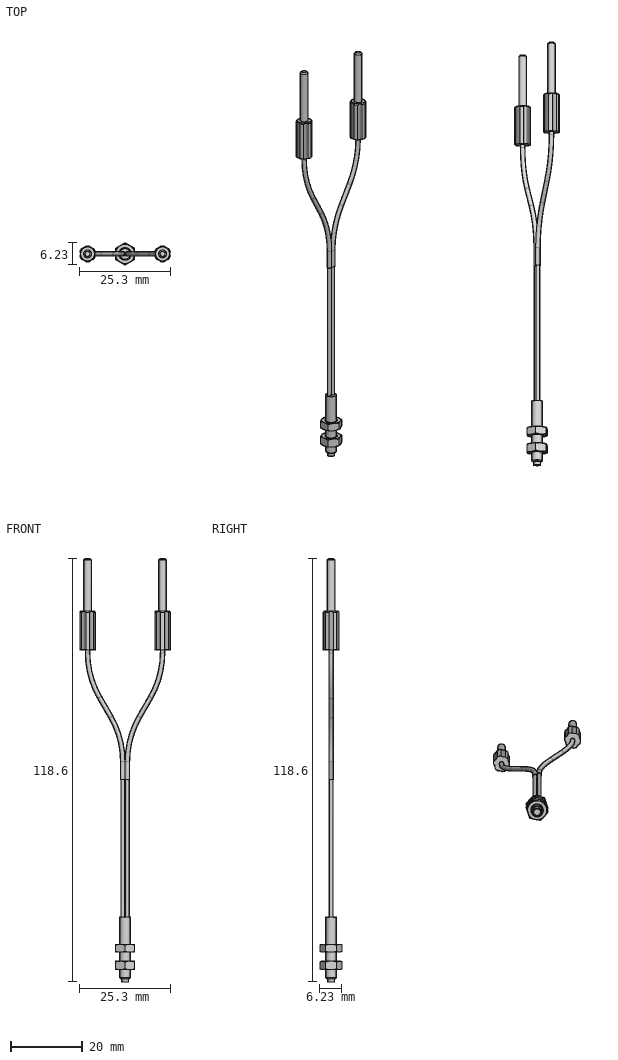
import cadquery as cq
import math

TIP_DIAMETER = 2.0
TIP_LENGTH = 0.9
HEAD_DIAMETER = 3.0
HEAD_TOP_Z = 18.2
HEAD_CHAMFER = 0.35

NUT_CORNER_DIAMETER = 6.23
NUT_SIDES = 6
NUT_HALF_SIDE_ANGLE = 180 / NUT_SIDES
NUT_FLAT_WIDTH = NUT_CORNER_DIAMETER * math.cos(math.radians(NUT_HALF_SIDE_ANGLE))
NUT_CHAMFER_ANGLE = 30
NUT_COUNTERSINK = 0.25
LOWER_NUT_Z = 3.5
LOWER_NUT_HEIGHT = 2.4
UPPER_NUT_Z = 8.4
UPPER_NUT_HEIGHT = 2.2

CABLE_PITCH = 1.3
CABLE_DIAMETER = 1.1
ARM_DIAMETER = 1.3
JOINED_BOTTOM_Z = 56.8
JOINED_TOP_Z = 61.8
BEND_RADIUS = 25.0
BEND_ANGLE = 30

OVERALL_WIDTH = 25.31
OVERALL_HEIGHT = 118.62
GRIP_DIAMETER = 4.5
GRIP_BOTTOM_Z = 93.1
GRIP_TOP_Z = 103.9
GRIP_CHAMFER = 0.3
FLUTE_COUNT = 6
FLUTE_WIDTH = 1.3
FLUTE_FLOOR_WIDTH = 0.5
FLUTE_DEPTH = 0.2
TUBE_DIAMETER = 2.2
TUBE_CHAMFER = 0.4

GRIP_RADIUS = GRIP_DIAMETER / 2
GRIP_WIDTH = 2 * math.sqrt(GRIP_RADIUS**2 - (FLUTE_WIDTH / 2) ** 2)
GRIP_X = (OVERALL_WIDTH - GRIP_WIDTH) / 2


def cylinder(diameter, bottom_z, top_z, x=0):
    return cq.Workplane("XY", origin=(x, 0, bottom_z)).circle(diameter / 2).extrude(top_z - bottom_z)


def make_head():
    tip = cylinder(TIP_DIAMETER, 0, TIP_LENGTH)
    body = cylinder(HEAD_DIAMETER, TIP_LENGTH, HEAD_TOP_Z).faces("<Z").chamfer(HEAD_CHAMFER)
    return tip.union(body)


def make_nut(bottom_z, height):
    """Hexagon nut, bored for the head, corners turned down and bore countersunk at both ends."""
    prism = (
        cq.Workplane("XY", origin=(0, 0, bottom_z))
        .polygon(NUT_SIDES, NUT_CORNER_DIAMETER)
        .extrude(height)
        .rotate((0, 0, 0), (0, 0, 1), NUT_HALF_SIDE_ANGLE)
    )
    chamfer_width = (NUT_CORNER_DIAMETER - NUT_FLAT_WIDTH) / 2
    chamfer_height = chamfer_width * math.tan(math.radians(NUT_CHAMFER_ANGLE))
    envelope = cylinder(NUT_CORNER_DIAMETER, bottom_z, bottom_z + height)
    envelope = envelope.faces("<Z or >Z").chamfer(chamfer_height, chamfer_width)
    bore = cylinder(HEAD_DIAMETER, bottom_z, bottom_z + height)
    nut = prism.intersect(envelope).cut(bore)
    return nut.edges(cq.selectors.RadiusNthSelector(0)).chamfer(NUT_COUNTERSINK)


def make_arm():
    """Right-hand cable arm: bend outward, straight run, bend back to vertical."""
    angle = math.radians(BEND_ANGLE)
    start_x = CABLE_PITCH / 2
    bend_x = BEND_RADIUS * (1 - math.cos(angle))
    bend_z = BEND_RADIUS * math.sin(angle)
    straight_x = GRIP_X - start_x - 2 * bend_x
    straight_z = straight_x / math.tan(angle)
    end_z = JOINED_TOP_Z + 2 * bend_z + straight_z

    half_x = BEND_RADIUS * (1 - math.cos(angle / 2))
    half_z = BEND_RADIUS * math.sin(angle / 2)
    path = (
        cq.Workplane("XZ")
        .moveTo(start_x, JOINED_TOP_Z)
        .threePointArc((start_x + half_x, JOINED_TOP_Z + half_z), (start_x + bend_x, JOINED_TOP_Z + bend_z))
        .lineTo(GRIP_X - bend_x, end_z - bend_z)
        .threePointArc((GRIP_X - half_x, end_z - half_z), (GRIP_X, end_z))
        .lineTo(GRIP_X, GRIP_BOTTOM_Z)
    )
    section = cq.Workplane("XY", origin=(start_x, 0, JOINED_TOP_Z)).circle(ARM_DIAMETER / 2)
    return section.sweep(path)


def make_grip():
    """Cylinder with a chamfered top rim and trapezoidal flutes along its whole length."""
    grip = cylinder(GRIP_DIAMETER, GRIP_BOTTOM_Z, GRIP_TOP_Z).faces(">Z").chamfer(GRIP_CHAMFER)
    half_floor = FLUTE_FLOOR_WIDTH / 2
    half_mouth = FLUTE_WIDTH / 2
    floor_x = GRIP_RADIUS - FLUTE_DEPTH
    mouth_x = math.sqrt(GRIP_RADIUS**2 - half_mouth**2)
    flute = (
        cq.Workplane("XY", origin=(0, 0, GRIP_BOTTOM_Z))
        .moveTo(floor_x, -half_floor)
        .lineTo(mouth_x, -half_mouth)
        .lineTo(GRIP_DIAMETER, -half_mouth)
        .lineTo(GRIP_DIAMETER, half_mouth)
        .lineTo(mouth_x, half_mouth)
        .lineTo(floor_x, half_floor)
        .close()
        .extrude(GRIP_TOP_Z - GRIP_BOTTOM_Z)
    )
    for index in range(FLUTE_COUNT):
        grip = grip.cut(flute.rotate((0, 0, 0), (0, 0, 1), index * 360 / FLUTE_COUNT))
    return grip.translate((GRIP_X, 0, 0))


def make_tube():
    tube = cylinder(TUBE_DIAMETER, GRIP_TOP_Z, OVERALL_HEIGHT, GRIP_X)
    return tube.faces(">Z").chamfer(TUBE_CHAMFER)


def make_branch():
    """Everything belonging to the cable on the +X side."""
    cable = cylinder(CABLE_DIAMETER, HEAD_TOP_Z, JOINED_BOTTOM_Z, CABLE_PITCH / 2)
    joined = cylinder(ARM_DIAMETER, JOINED_BOTTOM_Z, JOINED_TOP_Z, CABLE_PITCH / 2)
    return cable.union(joined).union(make_arm()).union(make_grip()).union(make_tube())


branch = make_branch()
result = (
    make_head()
    .union(make_nut(LOWER_NUT_Z, LOWER_NUT_HEIGHT))
    .union(make_nut(UPPER_NUT_Z, UPPER_NUT_HEIGHT))
    .union(branch)
    .union(branch.mirror("YZ"))
)